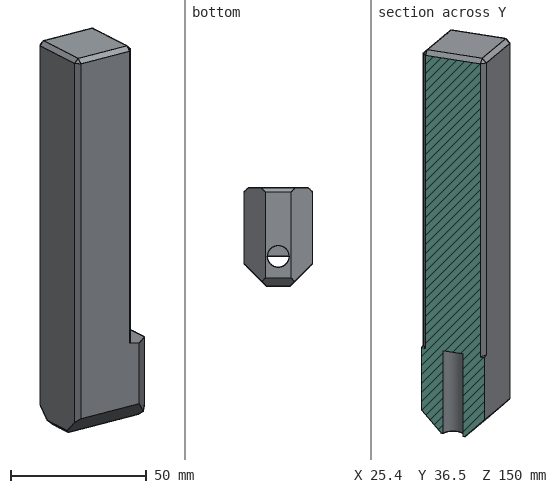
import cadquery as cq
import math

width = 25.4
shank_depth = 25.4
foot_depth = 36.5
height = 150.0
edge_chamfer = 1.6
foot_corner_chamfer = 8.4
bottom_side_chamfer = 8.0
foot_back_height = 29.8
foot_slope_angle = 14.0
heel_chamfer = 3.2
hole_diameter = 8.0
hole_center_y = shank_depth

foot_slope = math.tan(math.radians(foot_slope_angle))
foot_front_height = foot_back_height + foot_depth * foot_slope
hole_height = foot_back_height + (foot_depth - hole_center_y) * foot_slope


def make_shank():
    """Square bar with all edges broken except those around its bottom."""
    bar = cq.Workplane("XY").box(width, shank_depth, height, centered=(True, False, False))
    return bar.edges("|Z or >Z").chamfer(edge_chamfer)


def make_foot():
    """Deeper block at the bottom with a sloped top and wide rear corner chamfers."""
    side_profile = [
        (0, 0),
        (foot_depth, 0),
        (foot_depth, foot_back_height),
        (0, foot_front_height),
    ]
    block = cq.Workplane("YZ").polyline(side_profile).close().extrude(width / 2, both=True)
    block = block.edges("|Z and <Y").chamfer(edge_chamfer)
    return block.edges("|Z and >Y").chamfer(foot_corner_chamfer)


def bottom_corner_cut(plane, start, size, direction, half_length):
    """45-degree wedge along a bottom edge at the given horizontal position."""
    wedge = cq.Workplane(plane).polyline([(start, 0), (start + direction * size, 0), (start, size)])
    return wedge.close().extrude(half_length, both=True)


def make_hole():
    """Vertical hole from the bottom up to the top of the foot."""
    shaft = cq.Workplane("XY").center(0, hole_center_y).circle(hole_diameter / 2)
    return shaft.extrude(hole_height)


result = make_shank().union(make_foot())

for side in (-1, 1):
    result = result.cut(bottom_corner_cut("XZ", side * width / 2, bottom_side_chamfer, -side, foot_depth))
result = result.cut(bottom_corner_cut("YZ", 0, edge_chamfer, 1, width))
result = result.cut(bottom_corner_cut("YZ", foot_depth, heel_chamfer, -1, width))

result = result.cut(make_hole())